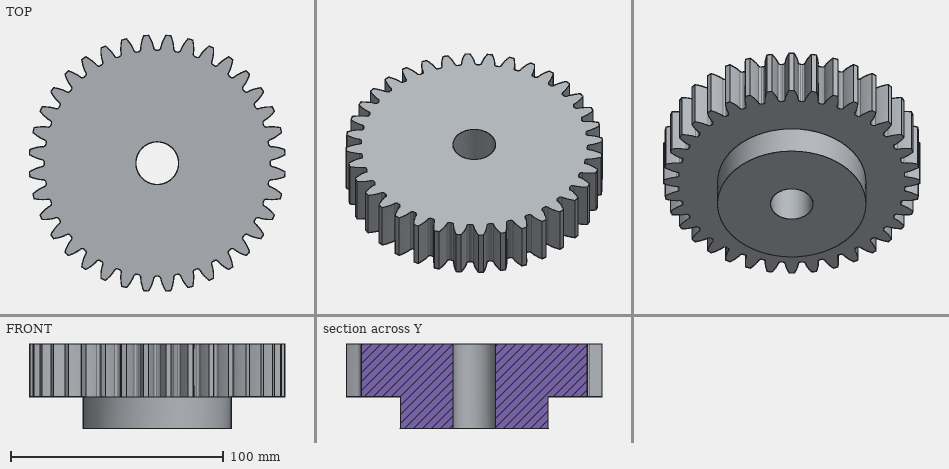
import cadquery as cq
import math

overall_width = 120.7
overall_height = 40.0
gear_thickness = 25.0
hub_diameter = 70.0
bore_diameter = 20.0

tooth_count = 36
pressure_angle = math.radians(20)
addendum_factor = 1.0
dedendum_factor = 1.25
root_fillet_radius = 1.2
flank_point_count = 6


def involute(angle):
    """Involute function of a pressure angle."""
    return math.tan(angle) - angle


pitch_angle = 2 * math.pi / tooth_count
base_half_angle = pitch_angle / 4 + involute(pressure_angle)
tip_pressure_angle = math.acos(tooth_count * math.cos(pressure_angle) / (tooth_count + 2 * addendum_factor))
tip_half_angle = base_half_angle - involute(tip_pressure_angle)

tip_radius = overall_width / 2 / math.cos(pitch_angle / 2 - tip_half_angle)
module = tip_radius / (tooth_count / 2 + addendum_factor)
pitch_radius = module * tooth_count / 2
base_radius = pitch_radius * math.cos(pressure_angle)
root_radius = pitch_radius - dedendum_factor * module

fillet_center_radius = root_radius + root_fillet_radius
fillet_center_pressure_angle = math.acos(base_radius / fillet_center_radius)
fillet_center_angle = (
    base_half_angle + root_fillet_radius / base_radius - involute(fillet_center_pressure_angle)
)
fillet_tangent_length = base_radius * math.tan(fillet_center_pressure_angle) - root_fillet_radius
flank_start_radius = math.hypot(base_radius, fillet_tangent_length)


def polar(radius, angle):
    return (radius * math.cos(angle), radius * math.sin(angle))


def flank_half_angle(radius):
    """Angle from the tooth centreline to its flank at a given radius."""
    return base_half_angle - involute(math.acos(base_radius / radius))


flank_step = (tip_radius - flank_start_radius) / (flank_point_count - 1)
flank_radii = [flank_start_radius + i * flank_step for i in range(flank_point_count)]


def fillet_midpoint(tooth_angle, side):
    """Middle of the root fillet arc on one side (-1 or +1) of a tooth."""
    center_x, center_y = polar(fillet_center_radius, tooth_angle + side * fillet_center_angle)
    root_x, root_y = polar(root_radius, tooth_angle + side * fillet_center_angle)
    flank_x, flank_y = polar(
        flank_start_radius, tooth_angle + side * flank_half_angle(flank_start_radius)
    )
    toward_x = root_x + flank_x - 2 * center_x
    toward_y = root_y + flank_y - 2 * center_y
    reach = root_fillet_radius / math.hypot(toward_x, toward_y)
    return (center_x + toward_x * reach, center_y + toward_y * reach)


def add_tooth(outline, tooth_angle):
    """Draw one tooth counterclockwise, ending with the root arc up to the next tooth."""
    rising = [polar(r, tooth_angle - flank_half_angle(r)) for r in flank_radii]
    falling = [polar(r, tooth_angle + flank_half_angle(r)) for r in reversed(flank_radii)]
    fillet_end = polar(root_radius, tooth_angle + fillet_center_angle)
    gap_middle = polar(root_radius, tooth_angle + pitch_angle / 2)
    next_tooth = polar(root_radius, tooth_angle + pitch_angle - fillet_center_angle)
    return (
        outline.threePointArc(fillet_midpoint(tooth_angle, -1), rising[0])
        .spline(rising[1:], includeCurrent=True)
        .threePointArc(polar(tip_radius, tooth_angle), falling[0])
        .spline(falling[1:], includeCurrent=True)
        .threePointArc(fillet_midpoint(tooth_angle, 1), fillet_end)
        .threePointArc(gap_middle, next_tooth)
    )


first_tooth_angle = pitch_angle / 2
outline = cq.Workplane("XY").moveTo(*polar(root_radius, first_tooth_angle - fillet_center_angle))
for tooth in range(tooth_count):
    outline = add_tooth(outline, first_tooth_angle + tooth * pitch_angle)
gear = outline.close().extrude(gear_thickness)

hub_length = overall_height - gear_thickness
hub = cq.Workplane("XY").circle(hub_diameter / 2).extrude(-hub_length)

bore = (
    cq.Workplane("XY")
    .workplane(offset=-hub_length)
    .circle(bore_diameter / 2)
    .extrude(overall_height)
)

result = gear.union(hub).cut(bore)